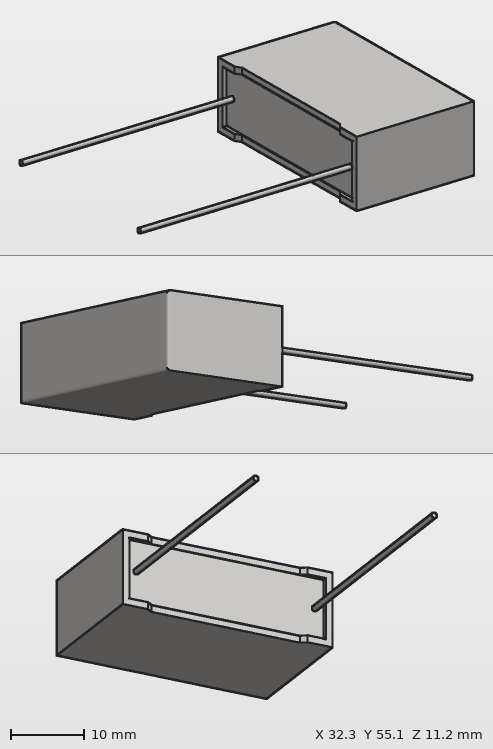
import cadquery as cq

width = 32.3
total_length = 55.1
height = 11.2

housing_depth = 20.05
wall = 1.05
back_edge_radius = 0.4

relief_depth = 0.6
relief_outer_inset = 3.85
relief_inner_inset = 4.75

filler_recess = 0.7

lead_diameter = 0.8
lead_pitch = 27.45
lead_length = total_length - housing_depth + filler_recess

cavity_width = width - 2 * wall
cavity_height = height - 2 * wall
cavity_back = housing_depth - wall


def block(size_x, size_z, y_front, y_back):
    """Box centred on the Y axis, between two Y positions."""
    box = cq.Workplane("XY").box(size_x, y_back - y_front, size_z)
    return box.translate((0, (y_front + y_back) / 2, 0))


def make_housing():
    """Open box with rounded back edges and relieved rims."""
    shell = block(width, height, 0, housing_depth)
    shell = shell.faces(">Y").edges().fillet(back_edge_radius)
    shell = shell.cut(block(cavity_width, cavity_height, 0, cavity_back))

    half_outer = width / 2 - relief_outer_inset
    half_inner = width / 2 - relief_inner_inset
    relief = (
        cq.Workplane("XY")
        .moveTo(-half_outer, 0)
        .lineTo(-half_inner, relief_depth)
        .lineTo(half_inner, relief_depth)
        .lineTo(half_outer, 0)
        .close()
        .extrude(height / 2, both=True)
    )
    return shell.cut(relief)


def make_filler():
    """Block that fills the cavity up to the recess behind the rim."""
    return block(cavity_width, cavity_height, filler_recess, cavity_back)


def make_lead(x):
    """Straight round wire running forward from the filler face."""
    wire = cq.Workplane("XZ").circle(lead_diameter / 2).extrude(lead_length)
    return wire.translate((x, filler_recess, 0))


housing = make_housing()
filler = make_filler()
leads = [make_lead(side * lead_pitch / 2) for side in (-1, 1)]

result = cq.Compound.makeCompound(
    [housing.val(), filler.val(), *[lead.val() for lead in leads]]
)